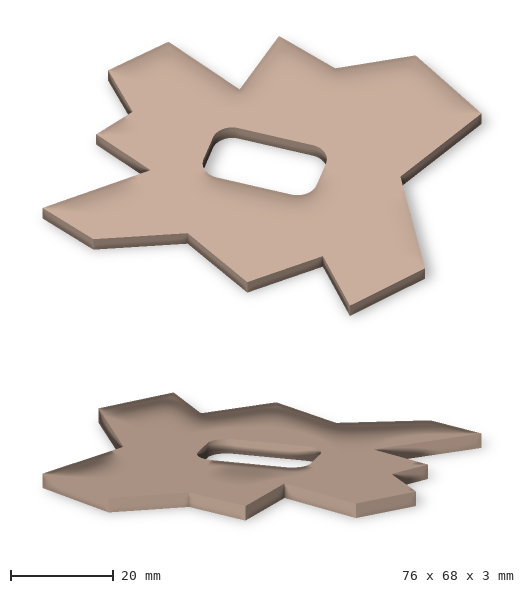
import cadquery as cq

thickness = 3.0
window_length = 23.1
window_width = 13.9
window_corner_radius = 3.95

outline = [
    (19.45, 36.0),
    (36.4, 25.0),
    (26.45, 4.0),
    (38.45, -17.9),
    (27.5, -32.0),
    (18.5, -20.9),
    (6.5, -32.0),
    (-8.5, -22.95),
    (-25.5, -30.0),
    (-37.55, -25.0),
    (-20.5, -9.0),
    (-33.5, -3.0),
    (-28.6, 4.95),
    (-36.5, 14.1),
    (-27.6, 25.0),
    (-10.5, 16.95),
    (-7.5, 33.0),
    (5.55, 28.0),
]

plate = cq.Workplane("XY").polyline(outline).close().extrude(thickness)

window = (
    cq.Workplane("XY")
    .rect(window_length, window_width)
    .extrude(thickness)
    .edges("|Z")
    .fillet(window_corner_radius)
)

result = plate.cut(window)